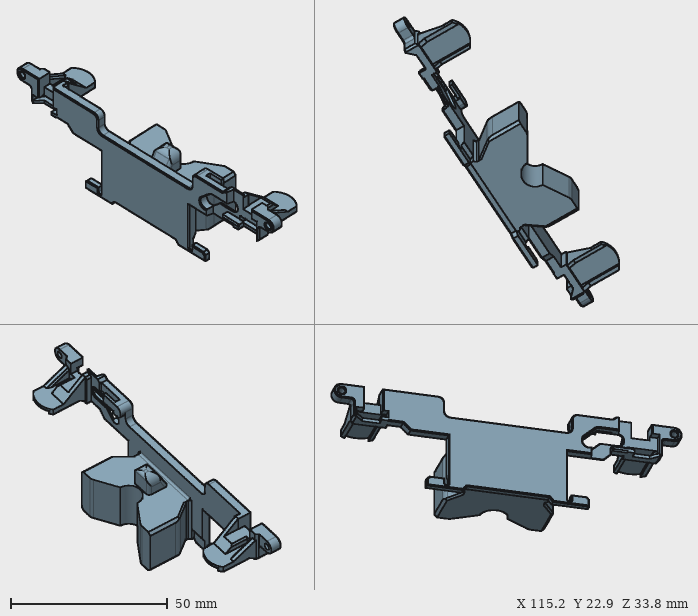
import cadquery as cq
import math

OVERALL_LENGTH = 115.15
OVERALL_DEPTH = 22.87
OVERALL_HEIGHT = 33.8
EDGE_BREAK = 0.35

PLATE_THICKNESS = 3.2
PANEL_HALF_WIDTH = 19.7
PANEL_TOP = 25.8
PANEL_BOTTOM = 1.5
ARM_TOP = 32.8
ARM_BOTTOM = 19.1
ARM_INNER_X = 21.1
ARM_OUTER_X = 41.5
ARM_TOP_RADIUS = 2.0
ARM_ROOT_RADIUS = 2.0
END_BOTTOM = 21.5
SLOPE_INNER_X = 32.3
SLOPE_OUTER_X = 34.8
CREST_START_X = 34.7
CREST_X = 35.9

FOOT_TIP_X = 26.9
FOOT_TOP = 3.4
FOOT_THICKNESS = 2.1
FOOT_BEVEL = 0.9
FOOT_INNER_X = 14.9
FOOT_SLOPE_X = 13.6
RELIEF_RADIUS = 0.65
RELIEF_BOTTOM = 1.1
TAPER_START_Z = 6.0
TAPER_END_Z = 4.2

SLOT_RADIUS = 2.15
SLOT_LOW = (26.8, 23.7)
SLOT_BEND = (30.3, 26.85)
SLOT_END = (37.0, 26.85)
RECESS_DEPTH = 2.6
RECESS_TOP_X = 36.7
RECESS_BOTTOM_X = 27.6
RECESS_RAMP = 0.6
TAB_INNER_X = 34.5
TAB_TOP = 23.3
TAB_BEVEL = 0.5

CLIP_BACK = 5.2
CLIP_BOTTOM = 28.3
CLIP_POST_END_X = 25.1
CLIP_HOOK_X = 30.2
CLIP_HOOK_BOTTOM = 29.2
CLIP_HOOK_THICKNESS = 1.0
CLIP_GAP_END_X = 35.0
CLIP_GAP_Y = 2.5

LUG_RADIUS = 2.5
LUG_X = OVERALL_LENGTH / 2 - LUG_RADIUS
LUG_Z = ARM_TOP - LUG_RADIUS
LUG_THICKNESS = 4.0
LUG_INNER_X = 47.6
LUG_HOLE_RADIUS = 1.1
LEG_OUTER_X = 51.1
LEG_WALL = 0.9
LEG_FILLET = 1.0
LEG_CORNER = 0.8
POCKET_INNER_X = 39.6
POCKET_DEPTH = RECESS_DEPTH
POCKET_TOP_LEFT = 25.0
POCKET_TOP_RIGHT = 29.4
WALL_INNER_X = 39.2
WALL_BACK = 5.1
WALL_INNER_BEVEL = 0.7
WALL_OUTER_BEVEL = 0.9
SADDLE_TOP = 28.2

TONGUE_INNER_X = 39.9
TONGUE_OUTER_X = 50.5
TONGUE_TOP = 25.8
TONGUE_BOTTOM = 23.6
TONGUE_TIP_Y = 20.0
TONGUE_SIDE_Y = 17.9
HAUNCH_Y = 7.4
HAUNCH_Z = 22.1
GUSSET_END_Y = 13.8
GUSSET_OUTER_TOP = 30.1
GUSSET_INNER_EDGE = 41.4
GUSSET_OUTER_EDGE = 48.4
GUSSET_BEVEL = 0.6
BLOCK_OUTER_X = 46.2

OPENING_INNER_X = 41.1
OPENING_OUTER_X = 49.0
OPENING_FLARE = 1.0
OPENING_FLARE_Y = 4.0
OPENING_BOTTOM = 22.7
OPENING_TOP = 24.7
BAR_HORN_X = 41.9

WING_TOP = 18.5
WING_BOTTOM = 1.45
WING_HALF_WIDTH = 18.25
WING_TIP_INNER_X = 13.2
WING_SIDE_START_Y = 11.4
WING_ROOT_X = 13.3
WING_ROOT_Y = 4.8
WING_FLARE = 0.8
WING_BEND_RADIUS = 4.5
WING_TIP_RADIUS = 2.5
WING_BEVEL = 1.0
WING_SLANT_BEVEL = 0.6
NOTCH_RADIUS = 4.5
NOTCH_Y = 17.7
NOTCH_EDGE_X = 4.5

KNOB_HALF_WIDTH = 4.05
KNOB_FRONT_Y = 4.9
KNOB_BACK_Y = 12.9
KNOB_SHOULDER_Z = 22.0
KNOB_CROWN_RADIUS = 3.5
KNOB_TOP = KNOB_SHOULDER_Z + KNOB_CROWN_RADIUS
KNOB_FRONT_LEAN = 0.55
KNOB_BACK_RADIUS = 1.2
KNOB_FRONT_RADIUS = 2.8

CLEARANCE = 5.0


def box(x_range, y_range, z_range):
    sizes = [high - low for low, high in (x_range, y_range, z_range)]
    corner = (x_range[0], y_range[0], z_range[0])
    return cq.Workplane("XY").box(*sizes, centered=False).translate(corner)


def front_sketch():
    """Sketch plane on Y = 0; a negative extrusion goes toward +Y."""
    return cq.Workplane("XZ")


def side_prism(points, x_start, x_end):
    return cq.Workplane("YZ").workplane(offset=x_start).polyline(points).close().extrude(x_end - x_start)


def edge_at(body, x, y, z):
    """The edge of the body nearest to a point."""
    return body.edges(cq.selectors.NearestToPointSelector((x, y, z)))


def mirrored(body):
    return body.mirror("YZ")


def bevel_front(body):
    return body.faces("<Y").edges().chamfer(EDGE_BREAK)


def half_outline(right):
    """Half of the plate from its middle line, running from the top edge round to the bottom edge."""
    low_arm = [(ARM_OUTER_X, END_BOTTOM), (SLOPE_OUTER_X, END_BOTTOM), (SLOPE_INNER_X, ARM_BOTTOM)]
    if right:
        arm_end = [
            (CREST_START_X, ARM_TOP),
            (CREST_X, OVERALL_HEIGHT),
            (ARM_OUTER_X, OVERALL_HEIGHT),
        ]
    else:
        arm_end = [(ARM_OUTER_X, ARM_TOP)]
    relief_outer_x = PANEL_HALF_WIDTH + 2 * RELIEF_RADIUS
    relief_z = RELIEF_BOTTOM + RELIEF_RADIUS
    sketch = front_sketch().moveTo(0, PANEL_TOP).lineTo(ARM_INNER_X, PANEL_TOP).lineTo(ARM_INNER_X, ARM_TOP)
    for point in arm_end + low_arm:
        sketch = sketch.lineTo(*point)
    return (
        sketch.lineTo(PANEL_HALF_WIDTH, ARM_BOTTOM)
        .lineTo(PANEL_HALF_WIDTH, relief_z)
        .threePointArc((PANEL_HALF_WIDTH + RELIEF_RADIUS, RELIEF_BOTTOM), (relief_outer_x, relief_z))
        .lineTo(relief_outer_x, FOOT_TOP)
        .lineTo(FOOT_TIP_X - FOOT_BEVEL, FOOT_TOP)
        .lineTo(FOOT_TIP_X, FOOT_TOP - FOOT_BEVEL)
        .lineTo(FOOT_TIP_X, 0)
        .lineTo(FOOT_INNER_X, 0)
        .lineTo(FOOT_SLOPE_X, PANEL_BOTTOM)
        .lineTo(0, PANEL_BOTTOM)
        .close()
    )


def half_plate(right):
    half = half_outline(right).extrude(-PLATE_THICKNESS)
    half = edge_at(half, ARM_INNER_X, PLATE_THICKNESS / 2, ARM_TOP).fillet(ARM_TOP_RADIUS)
    return edge_at(half, ARM_INNER_X, PLATE_THICKNESS / 2, PANEL_TOP).fillet(ARM_ROOT_RADIUS)


def capsule(start, end):
    """Straight stretch of the slot with round ends, cut through the plate."""
    run = end[0] - start[0]
    rise = end[1] - start[1]
    length = math.hypot(run, rise) + 2 * SLOT_RADIUS
    middle = ((start[0] + end[0]) / 2, (start[1] + end[1]) / 2)
    tilt = math.degrees(math.atan2(rise, run))
    return front_sketch().center(*middle).slot2D(length, 2 * SLOT_RADIUS, tilt).extrude(-PLATE_THICKNESS)


def foot_taper():
    """Material removed behind the panel's lower end to thin the feet."""
    back = PLATE_THICKNESS + CLEARANCE
    profile = [
        (PLATE_THICKNESS, TAPER_START_Z),
        (FOOT_THICKNESS, TAPER_END_Z),
        (FOOT_THICKNESS, -CLEARANCE),
        (back, -CLEARANCE),
        (back, TAPER_START_Z),
    ]
    return side_prism(profile, -FOOT_TIP_X, FOOT_TIP_X)


def arm_recess():
    """Stepped-back front face of the right arm; its left border is ramped."""

    def step(start_x, z_low, z_high):
        plan = [
            (start_x, 0),
            (start_x + RECESS_RAMP, RECESS_DEPTH),
            (LUG_INNER_X, RECESS_DEPTH),
            (LUG_INNER_X, 0),
        ]
        return cq.Workplane("XY").workplane(offset=z_low).polyline(plan).close().extrude(z_high - z_low)

    slot_middle = SLOT_END[1]
    below = step(RECESS_BOTTOM_X, ARM_BOTTOM, slot_middle)
    return below.union(step(RECESS_TOP_X, slot_middle, OVERALL_HEIGHT))


def arm_tab():
    tab = box((TAB_INNER_X, BAR_HORN_X), (0, RECESS_DEPTH), (END_BOTTOM, TAB_TOP))
    return tab.faces("<Y").edges().chamfer(TAB_BEVEL)


def front_plate():
    plate = half_plate(right=True).union(mirrored(half_plate(right=False)))
    slot = capsule(SLOT_LOW, SLOT_BEND).union(capsule(SLOT_BEND, SLOT_END)).clean()
    plate = bevel_front(plate.cut(slot))
    return plate.cut(foot_taper()).cut(arm_recess()).cut(clip_gap())


def clip_gap():
    """Thins the arm's back in front of the hook."""
    return box((CLIP_POST_END_X, CLIP_GAP_END_X), (CLIP_GAP_Y, PLATE_THICKNESS), (CLIP_HOOK_BOTTOM, ARM_TOP))


def clip():
    """Round-cornered post standing off the arm's back, with a hook reaching outward from it."""
    post = box((ARM_INNER_X, CLIP_POST_END_X), (CLIP_GAP_Y, CLIP_BACK), (CLIP_BOTTOM, ARM_TOP))
    post = post.edges("|Y and <X").fillet(ARM_TOP_RADIUS)
    hook_y = (CLIP_BACK - CLIP_HOOK_THICKNESS, CLIP_BACK)
    hook = box((CLIP_POST_END_X - ARM_TOP_RADIUS, CLIP_HOOK_X), hook_y, (CLIP_HOOK_BOTTOM, ARM_TOP))
    return post.union(hook)


def lug():
    """Screw lug and its leg."""
    body = (
        front_sketch()
        .moveTo(LUG_INNER_X, ARM_TOP)
        .lineTo(LUG_X, ARM_TOP)
        .threePointArc((LUG_X + LUG_RADIUS, LUG_Z), (LUG_X, LUG_Z - LUG_RADIUS))
        .lineTo(LEG_OUTER_X, LUG_Z - LUG_RADIUS)
        .lineTo(LEG_OUTER_X, END_BOTTOM)
        .lineTo(LUG_INNER_X, END_BOTTOM)
        .close()
        .extrude(-LUG_THICKNESS)
    )
    body = edge_at(body, LEG_OUTER_X, LUG_THICKNESS / 2, LUG_Z - LUG_RADIUS).fillet(LEG_FILLET)
    body = edge_at(body, LEG_OUTER_X, LUG_THICKNESS / 2, END_BOTTOM).chamfer(LEG_CORNER)
    hole = front_sketch().center(LUG_X, LUG_Z).circle(LUG_HOLE_RADIUS).extrude(-LUG_THICKNESS)
    return bevel_front(body.cut(hole))


def back_wall():
    wall = box((WALL_INNER_X, LEG_OUTER_X), (POCKET_DEPTH, WALL_BACK), (END_BOTTOM, ARM_TOP))
    wall = wall.edges("|Y and <Z and >X").chamfer(LEG_CORNER)
    wall = wall.edges("|Y and >Z and <X").chamfer(WALL_INNER_BEVEL)
    wall = wall.edges("|Z and >Y and >X").chamfer(WALL_OUTER_BEVEL)
    return wall.cut(box((ARM_OUTER_X, LUG_INNER_X), (0, WALL_BACK), (SADDLE_TOP, ARM_TOP)))


def tongue():
    middle_x = (TONGUE_INNER_X + TONGUE_OUTER_X) / 2
    plate = (
        cq.Workplane("XY")
        .workplane(offset=TONGUE_BOTTOM)
        .moveTo(TONGUE_INNER_X, POCKET_DEPTH)
        .lineTo(TONGUE_INNER_X, TONGUE_SIDE_Y)
        .threePointArc((middle_x, TONGUE_TIP_Y), (TONGUE_OUTER_X, TONGUE_SIDE_Y))
        .lineTo(TONGUE_OUTER_X, POCKET_DEPTH)
        .close()
        .extrude(TONGUE_TOP - TONGUE_BOTTOM)
    )
    haunch_profile = [
        (POCKET_DEPTH, TONGUE_TOP),
        (HAUNCH_Y, TONGUE_TOP),
        (HAUNCH_Y, TONGUE_BOTTOM),
        (WALL_BACK, HAUNCH_Z),
        (POCKET_DEPTH, HAUNCH_Z),
    ]
    return plate.union(side_prism(haunch_profile, TONGUE_INNER_X, TONGUE_OUTER_X))


def gusset(x_start, x_end, top):
    profile = [
        (POCKET_DEPTH, TONGUE_BOTTOM),
        (POCKET_DEPTH, top),
        (WALL_BACK, top),
        (GUSSET_END_Y, TONGUE_TOP),
        (GUSSET_END_Y, TONGUE_BOTTOM),
    ]
    return side_prism(profile, x_start, x_end)


def gussets():
    inner = gusset(TONGUE_INNER_X, GUSSET_INNER_EDGE, ARM_TOP)
    outer = gusset(GUSSET_OUTER_EDGE, TONGUE_OUTER_X, GUSSET_OUTER_TOP)
    block = gusset(GUSSET_INNER_EDGE, BLOCK_OUTER_X, ARM_TOP)
    block = block.cut(box((GUSSET_INNER_EDGE, BLOCK_OUTER_X), (0, GUSSET_END_Y), (SADDLE_TOP, ARM_TOP)))
    slope_middle_y = (WALL_BACK + GUSSET_END_Y) / 2
    outer = edge_at(outer, GUSSET_OUTER_EDGE, slope_middle_y, (GUSSET_OUTER_TOP + TONGUE_TOP) / 2)
    outer = outer.chamfer(GUSSET_BEVEL)
    block = edge_at(block, BLOCK_OUTER_X, slope_middle_y, SADDLE_TOP).chamfer(GUSSET_BEVEL)
    return inner.union(outer).union(block)


def tongue_opening():
    """Passage under the tongue, flared toward the front and open below behind the bar."""
    plan = [
        (OPENING_INNER_X - OPENING_FLARE, POCKET_DEPTH),
        (OPENING_INNER_X, OPENING_FLARE_Y),
        (OPENING_INNER_X, TONGUE_TIP_Y),
        (OPENING_OUTER_X, TONGUE_TIP_Y),
        (OPENING_OUTER_X, OPENING_FLARE_Y),
        (OPENING_OUTER_X + OPENING_FLARE, POCKET_DEPTH),
    ]
    height = OPENING_TOP - OPENING_BOTTOM
    passage = cq.Workplane("XY").workplane(offset=OPENING_BOTTOM).polyline(plan).close().extrude(height)
    below = box((OPENING_INNER_X, OPENING_OUTER_X), (WALL_BACK, TONGUE_TIP_Y), (END_BOTTOM, OPENING_TOP))
    return passage.union(below)


def bar_horns():
    """Ends of the bar under the opening, which reach forward to the front face."""
    leg_inner_x = LEG_OUTER_X - LEG_WALL
    inner_plan = [
        (POCKET_INNER_X, 0),
        (BAR_HORN_X, 0),
        (BAR_HORN_X, POCKET_DEPTH),
        (POCKET_INNER_X, POCKET_DEPTH),
    ]
    outer_plan = [(leg_inner_x, 0), (leg_inner_x, POCKET_DEPTH), (LUG_INNER_X, POCKET_DEPTH)]
    height = OPENING_BOTTOM - END_BOTTOM
    base = cq.Workplane("XY").workplane(offset=END_BOTTOM)
    inner = base.polyline(inner_plan).close().extrude(height)
    return inner.union(base.polyline(outer_plan).close().extrude(height))


def front_pocket(top):
    """Hollow in the front face beside the leg."""
    return box((POCKET_INNER_X, LEG_OUTER_X - LEG_WALL), (0, POCKET_DEPTH), (END_BOTTOM, top))


def end_bracket(pocket_top):
    bracket = lug().cut(front_pocket(pocket_top)).union(back_wall())
    return bracket.union(tongue()).union(gussets()).union(bar_horns())


def wing():
    depth = OVERALL_DEPTH
    height = WING_TOP - WING_BOTTOM
    flare_y = PLATE_THICKNESS + WING_FLARE
    body = (
        cq.Workplane("XY")
        .workplane(offset=WING_BOTTOM)
        .moveTo(-WING_ROOT_X - WING_FLARE, FOOT_THICKNESS)
        .lineTo(-WING_ROOT_X - WING_FLARE, PLATE_THICKNESS)
        .lineTo(-WING_ROOT_X, flare_y)
        .lineTo(-WING_ROOT_X, WING_ROOT_Y)
        .lineTo(-WING_HALF_WIDTH, WING_SIDE_START_Y)
        .lineTo(-WING_HALF_WIDTH, depth)
        .lineTo(-WING_TIP_INNER_X, depth)
        .lineTo(-NOTCH_EDGE_X, NOTCH_Y)
        .threePointArc((0, NOTCH_Y - NOTCH_RADIUS), (NOTCH_EDGE_X, NOTCH_Y))
        .lineTo(WING_TIP_INNER_X, depth)
        .lineTo(WING_HALF_WIDTH, depth)
        .lineTo(WING_HALF_WIDTH, WING_SIDE_START_Y)
        .lineTo(WING_ROOT_X, WING_ROOT_Y)
        .lineTo(WING_ROOT_X, flare_y)
        .lineTo(WING_ROOT_X + WING_FLARE, PLATE_THICKNESS)
        .lineTo(WING_ROOT_X + WING_FLARE, FOOT_THICKNESS)
        .close()
        .extrude(height)
    )
    middle_z = (WING_TOP + WING_BOTTOM) / 2
    side_middle_y = (WING_SIDE_START_Y + depth) / 2
    slant_middle = ((WING_ROOT_X + WING_HALF_WIDTH) / 2, (WING_ROOT_Y + WING_SIDE_START_Y) / 2)
    for side in (-1, 1):
        for z in (WING_BOTTOM, WING_TOP):
            body = edge_at(body, side * WING_HALF_WIDTH, side_middle_y, z).chamfer(WING_BEVEL)
            body = edge_at(body, side * slant_middle[0], slant_middle[1], z).chamfer(WING_SLANT_BEVEL)
        body = edge_at(body, side * WING_HALF_WIDTH, WING_SIDE_START_Y, middle_z).fillet(WING_BEND_RADIUS)
        body = edge_at(body, side * WING_TIP_INNER_X, depth, middle_z).fillet(WING_TIP_RADIUS)
    return body.union(wing_root_fillet(flare_y))


def wing_root_fillet(end_y):
    """Hollow fillet strip between the plate's back and the wing's top."""
    strip = box((-WING_ROOT_X, WING_ROOT_X), (FOOT_THICKNESS, end_y), (WING_TOP, WING_TOP + WING_FLARE))
    hollow = (
        cq.Workplane("YZ")
        .workplane(offset=-WING_ROOT_X)
        .center(end_y, WING_TOP + WING_FLARE)
        .circle(WING_FLARE)
        .extrude(2 * WING_ROOT_X)
    )
    return strip.cut(hollow)


def knob():
    """Round-shouldered knob with a leaning front."""
    flat_half = KNOB_HALF_WIDTH - KNOB_CROWN_RADIUS
    crown_run = KNOB_CROWN_RADIUS * math.sqrt(0.5)
    arch = (
        front_sketch()
        .moveTo(-KNOB_HALF_WIDTH, WING_BOTTOM)
        .lineTo(-KNOB_HALF_WIDTH, KNOB_SHOULDER_Z)
        .threePointArc(
            (-flat_half - crown_run, KNOB_SHOULDER_Z + crown_run),
            (-flat_half, KNOB_TOP),
        )
        .lineTo(flat_half, KNOB_TOP)
        .threePointArc(
            (flat_half + crown_run, KNOB_SHOULDER_Z + crown_run),
            (KNOB_HALF_WIDTH, KNOB_SHOULDER_Z),
        )
        .lineTo(KNOB_HALF_WIDTH, WING_BOTTOM)
        .close()
        .extrude(-KNOB_BACK_Y)
    )
    lean_y = KNOB_FRONT_Y + KNOB_FRONT_LEAN * (KNOB_TOP - WING_TOP)
    profile = [
        (KNOB_FRONT_Y, WING_BOTTOM),
        (KNOB_FRONT_Y, WING_TOP),
        (lean_y, KNOB_TOP),
        (KNOB_BACK_Y, KNOB_TOP),
        (KNOB_BACK_Y, WING_BOTTOM),
    ]
    envelope = side_prism(profile, -KNOB_HALF_WIDTH, KNOB_HALF_WIDTH)
    envelope = edge_at(envelope, 0, lean_y, KNOB_TOP).fillet(KNOB_FRONT_RADIUS)
    envelope = envelope.edges("|Z and >Y").fillet(KNOB_BACK_RADIUS)
    envelope = edge_at(envelope, 0, KNOB_BACK_Y, KNOB_TOP).fillet(KNOB_BACK_RADIUS)
    return arch.intersect(envelope)


plate = front_plate().cut(mirrored(front_pocket(POCKET_TOP_LEFT))).cut(front_pocket(POCKET_TOP_RIGHT))
result = (
    plate.union(arm_tab())
    .union(clip())
    .union(end_bracket(POCKET_TOP_RIGHT))
    .union(mirrored(end_bracket(POCKET_TOP_LEFT)))
    .cut(tongue_opening())
    .cut(mirrored(tongue_opening()))
    .union(wing())
    .union(knob())
    .clean()
)